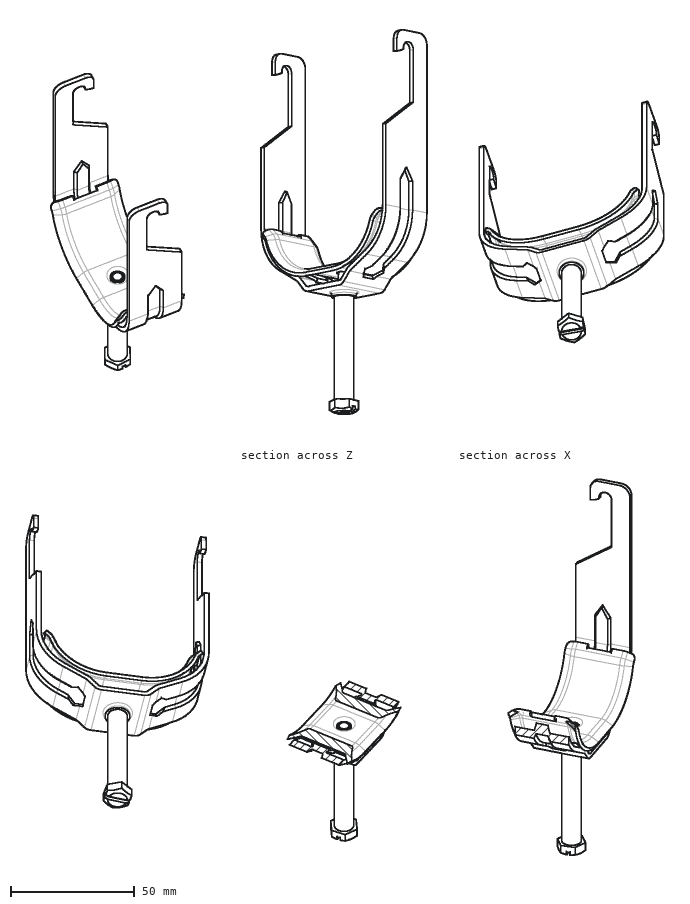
import cadquery as cq
import math

STRAP_THICKNESS = 2.0
STRAP_WIDTH = 23.6
STRAP_SPAN = 70.9
STRAP_TOP_Z = 152.5
BEND_Z = 79.0
SHOULDER_RADIUS = 21.8
SHOULDER_SWEEP = 60.0
KNEE_X = 15.0
KNEE_ANGLE = 48.0
KNEE_INNER_FILLET = 3.0
FLOOR_Z = 49.5
FLOOR_BEND_RADIUS = 1.5
COLLAR_DIAMETER = 10.0
COLLAR_HEIGHT = 2.0
COLLAR_FILLET = 0.9

HALF_WIDTH = STRAP_WIDTH / 2
HOOK_OUTER_Y = 5.5
HOOK_CORNER_RADIUS = 3.8
BACK_CORNER_RADIUS = 4.5
HOOK_TIP_Z = 143.4
HOOK_TIP_INNER_Z = 144.5
HOOK_TIP_BULGE = 0.3
HOOK_SLOT_RADIUS = 2.7
HOOK_SLOT_Y = -1.0
HOOK_SLOT_Z = 145.2
SHANK_BOTTOM_Z = 123.4
SHOULDER_STEP_Z = 112.4

RIB_HEIGHT = 1.2
RIB_BASE_HALF = 3.5
RIB_CREST_HALF = 2.6
RIB_TAPER_Z = 90.7
RIB_BASE_TIP_Z = 96.0
RIB_CREST_TIP_Z = 95.5
RIB_FLARE_HALF = 5.3
RIB_FLARE_END_HALF = 2.9
RIB_FLARE_LENGTH = 6.4
RIB_FLARE_WIDEST = 2.6
RIB_FLARE_OVERRUN = 1.5

TRAY_THICKNESS = 1.5
TRAY_WIDTH = 30.0
TRAY_FLOOR_Z = 59.0
TRAY_FLAT_HALF = 7.5
TRAY_RADIUS = 20.3
TRAY_SWEEP = 74.0
LIP_BEND_RADIUS = 6.1
LIP_ANGLE = 45.0
LIP_LENGTH = 3.0
LIP_CORNER_RADIUS = 2.3
FLANGE_START = 9.9
FLANGE_BEND_RADIUS = 3.7
FLANGE_ANGLE = 30.0
NOTCH_WIDTH = 10.7
NOTCH_X = 29.6
TRAY_HOLE_DIAMETER = 6.0
TRAY_HOLE_ROLL = 1.45

SCREW_DIAMETER = 8.0
SCREW_SHOULDER_Z = 52.9
TIP_BASE_DIAMETER = 6.7
NECK_DIAMETER = 4.5
NECK_Z = 54.3
NECK_TOP_Z = 58.0
NECK_TOP_DIAMETER = 4.0
HEAD_HEIGHT = 4.5
HEAD_CORNER_DIAMETER = 11.9
HEAD_BOTTOM_DIAMETER = 8.0
HEAD_CHAMFER_HEIGHT = 1.15
HEAD_TURN = 6.0
SLOT_WIDTH = 1.5
SLOT_DEPTH = 2.0

LEG_X = -STRAP_SPAN / 2
SHOULDER_X = LEG_X + SHOULDER_RADIUS


def cos(degrees):
    return math.cos(math.radians(degrees))


def sin(degrees):
    return math.sin(math.radians(degrees))


def mirrored_pair(left):
    """A left-hand shape together with its mirror image about the YZ plane."""
    return left.union(left.mirror("YZ"))



def shoulder_point(angle, inset):
    """Point of the left shoulder arc, inset from the strap's outer face."""
    radius = SHOULDER_RADIUS - inset
    return (SHOULDER_X - radius * cos(angle), BEND_Z - radius * sin(angle))


def bend_corner(corner, slope_before, slope_after, inset):
    """Corner between two downward-sloping lines after both move inward by inset."""
    nx = sin(slope_before) + sin(slope_after)
    nz = cos(slope_before) + cos(slope_after)
    reach = inset / (1 + cos(slope_after - slope_before))
    return (corner[0] + reach * nx, corner[1] + reach * nz)


RAMP_ANGLE = 90.0 - SHOULDER_SWEEP
RAMP_TOP = shoulder_point(SHOULDER_SWEEP, 0)
KNEE = (-KNEE_X, RAMP_TOP[1] - (-KNEE_X - RAMP_TOP[0]) * math.tan(math.radians(RAMP_ANGLE)))
FLOOR_CORNER = (-KNEE_X + (KNEE[1] - FLOOR_Z) / math.tan(math.radians(KNEE_ANGLE)), FLOOR_Z)
RAMP_LENGTH = math.dist(RAMP_TOP, KNEE)


def strap_sheet():
    """The bent strip at full width, before its legs are trimmed to shape."""
    t = STRAP_THICKNESS
    inner_knee = bend_corner(KNEE, RAMP_ANGLE, KNEE_ANGLE, t)
    inner_corner = bend_corner(FLOOR_CORNER, KNEE_ANGLE, 0, t)
    left = (
        cq.Workplane("XZ")
        .moveTo(LEG_X, STRAP_TOP_Z)
        .lineTo(LEG_X, BEND_Z)
        .threePointArc(shoulder_point(SHOULDER_SWEEP / 2, 0), RAMP_TOP)
        .lineTo(*KNEE)
        .lineTo(*FLOOR_CORNER)
        .lineTo(0, FLOOR_Z)
        .lineTo(0, FLOOR_Z + t)
        .lineTo(*inner_corner)
        .lineTo(*inner_knee)
        .lineTo(*shoulder_point(SHOULDER_SWEEP, t))
        .threePointArc(shoulder_point(SHOULDER_SWEEP / 2, t), shoulder_point(0, t))
        .lineTo(LEG_X + t, STRAP_TOP_Z)
        .close()
        .extrude(HALF_WIDTH, both=True)
    )
    fillets = (
        (FLOOR_CORNER, FLOOR_BEND_RADIUS + t),
        (inner_corner, FLOOR_BEND_RADIUS),
        (inner_knee, KNEE_INNER_FILLET),
    )
    for (x, z), radius in fillets:
        left = left.edges(cq.selectors.NearestToPointSelector((x, 0, z))).fillet(radius)
    return mirrored_pair(left)


def leg_outline():
    """Side outline of the hooked legs, as a prism along X."""
    slot_left = HOOK_SLOT_Y + HOOK_SLOT_RADIUS
    slot_right = HOOK_SLOT_Y - HOOK_SLOT_RADIUS
    tip_middle_z = (HOOK_TIP_Z + HOOK_TIP_INNER_Z) / 2 - HOOK_TIP_BULGE
    tip_middle = ((HOOK_OUTER_Y + slot_left) / 2, tip_middle_z)
    return (
        cq.Workplane("YZ")
        .moveTo(-HALF_WIDTH, 0)
        .lineTo(-HALF_WIDTH, STRAP_TOP_Z - BACK_CORNER_RADIUS)
        .radiusArc((-HALF_WIDTH + BACK_CORNER_RADIUS, STRAP_TOP_Z), BACK_CORNER_RADIUS)
        .lineTo(HOOK_OUTER_Y - HOOK_CORNER_RADIUS, STRAP_TOP_Z)
        .radiusArc((HOOK_OUTER_Y, STRAP_TOP_Z - HOOK_CORNER_RADIUS), HOOK_CORNER_RADIUS)
        .lineTo(HOOK_OUTER_Y, HOOK_TIP_Z)
        .threePointArc(tip_middle, (slot_left, HOOK_TIP_INNER_Z))
        .lineTo(slot_left, HOOK_SLOT_Z)
        .threePointArc((HOOK_SLOT_Y, HOOK_SLOT_Z + HOOK_SLOT_RADIUS), (slot_right, HOOK_SLOT_Z))
        .lineTo(slot_right, SHANK_BOTTOM_Z)
        .lineTo(HALF_WIDTH, SHOULDER_STEP_Z)
        .lineTo(HALF_WIDTH, 0)
        .close()
        .extrude(STRAP_SPAN, both=True)
    )


def rib_outline(workplane, half_width, tip_z):
    """Pointed outline of the straight part of a rib."""
    return workplane.polyline([
        (-half_width, BEND_Z),
        (half_width, BEND_Z),
        (half_width, RIB_TAPER_Z),
        (0, tip_z),
        (-half_width, RIB_TAPER_Z),
    ]).close()


def rib_section(inset):
    """Trapezoid section of the left rib in the bend plane."""
    x = LEG_X + inset
    return cq.Workplane("XY", origin=(0, 0, BEND_Z)).polyline([
        (x, -RIB_BASE_HALF),
        (x, RIB_BASE_HALF),
        (x + RIB_HEIGHT, RIB_CREST_HALF),
        (x + RIB_HEIGHT, -RIB_CREST_HALF),
    ]).close()


def left_rib_flare(inset):
    """Widened foot of the left rib, reaching both ways from the ramp so that it opens past the knee."""
    plane = cq.Plane(
        origin=(KNEE[0] + inset * sin(RAMP_ANGLE), 0, KNEE[1] + inset * cos(RAMP_ANGLE)),
        xDir=(-cos(RAMP_ANGLE), 0, sin(RAMP_ANGLE)),
        normal=(sin(RAMP_ANGLE), 0, cos(RAMP_ANGLE)),
    )
    return cq.Workplane(plane).polyline([
        (-RIB_FLARE_OVERRUN, -RIB_FLARE_END_HALF),
        (RIB_FLARE_WIDEST, -RIB_FLARE_HALF),
        (RIB_FLARE_LENGTH, -RIB_CREST_HALF),
        (RIB_FLARE_LENGTH, RIB_CREST_HALF),
        (RIB_FLARE_WIDEST, RIB_FLARE_HALF),
        (-RIB_FLARE_OVERRUN, RIB_FLARE_END_HALF),
    ]).close().extrude(RIB_HEIGHT, both=True)


def left_rib(inset):
    """Rib standing inward from the strap face at this inset: leg, shoulder, ramp and flared foot."""
    base = rib_outline(cq.Workplane("YZ", origin=(LEG_X + inset, 0, 0)), RIB_BASE_HALF, RIB_BASE_TIP_Z)
    crest = base.workplane(offset=RIB_HEIGHT)
    leg_part = rib_outline(crest, RIB_CREST_HALF, RIB_CREST_TIP_Z).loft(ruled=True)
    axis_start = (SHOULDER_X, 0, 0)
    axis_end = (SHOULDER_X, -1, 0)
    shoulder_part = rib_section(inset).revolve(SHOULDER_SWEEP, axis_start, axis_end)
    ramp_part = (
        rib_section(inset)
        .extrude(-RAMP_LENGTH)
        .rotate((SHOULDER_X, 0, BEND_Z), (SHOULDER_X, -1, BEND_Z), SHOULDER_SWEEP)
    )
    return leg_part.union(shoulder_part).union(ramp_part).union(left_rib_flare(inset))


def make_strap():
    strap = strap_sheet().intersect(leg_outline())
    strap = strap.union(mirrored_pair(left_rib(STRAP_THICKNESS)))
    strap = strap.cut(mirrored_pair(left_rib(0)))
    collar = (
        cq.Workplane("XY", origin=(0, 0, FLOOR_Z))
        .circle(COLLAR_DIAMETER / 2)
        .extrude(-COLLAR_HEIGHT)
    )
    root = cq.selectors.BoxSelector(
        (-COLLAR_DIAMETER, -COLLAR_DIAMETER, FLOOR_Z - COLLAR_FILLET),
        (COLLAR_DIAMETER, COLLAR_DIAMETER, FLOOR_Z + COLLAR_FILLET),
    )
    strap = strap.union(collar).edges("%CIRCLE").edges(root).fillet(COLLAR_FILLET)
    bore = (
        cq.Workplane("XY", origin=(0, 0, FLOOR_Z - COLLAR_HEIGHT))
        .circle(SCREW_DIAMETER / 2)
        .extrude(COLLAR_HEIGHT + STRAP_THICKNESS)
    )
    return strap.cut(bore)



def tray_path():
    """Run of the tray's upper face along its middle, from the left lip to the right lip."""
    arc_center_z = TRAY_FLOOR_Z + TRAY_RADIUS

    def saddle_point(angle):
        return (TRAY_FLAT_HALF + TRAY_RADIUS * sin(angle), arc_center_z - TRAY_RADIUS * cos(angle))

    saddle_end = saddle_point(TRAY_SWEEP)
    lip_center = (
        saddle_end[0] + LIP_BEND_RADIUS * sin(TRAY_SWEEP),
        saddle_end[1] - LIP_BEND_RADIUS * cos(TRAY_SWEEP),
    )

    def lip_bend_point(angle):
        return (lip_center[0] - LIP_BEND_RADIUS * sin(angle), lip_center[1] + LIP_BEND_RADIUS * cos(angle))

    def left(point):
        return (-point[0], point[1])

    lip_start = lip_bend_point(LIP_ANGLE)
    lip_end = (lip_start[0] + LIP_LENGTH * cos(LIP_ANGLE), lip_start[1] + LIP_LENGTH * sin(LIP_ANGLE))
    lip_middle = lip_bend_point((TRAY_SWEEP + LIP_ANGLE) / 2)
    saddle_middle = saddle_point(TRAY_SWEEP / 2)
    path = (
        cq.Workplane("XZ")
        .moveTo(*left(lip_end))
        .lineTo(*left(lip_start))
        .threePointArc(left(lip_middle), left(saddle_end))
        .threePointArc(left(saddle_middle), (-TRAY_FLAT_HALF, TRAY_FLOOR_Z))
        .lineTo(TRAY_FLAT_HALF, TRAY_FLOOR_Z)
        .threePointArc(saddle_middle, saddle_end)
        .threePointArc(lip_middle, lip_start)
        .lineTo(*lip_end)
    )
    return path, lip_end


def tray_section(plane):
    """Sheet section across the tray: level in the middle, sloping down at both sides."""
    t = TRAY_THICKNESS

    def bend_point(angle, depth):
        radius = FLANGE_BEND_RADIUS - depth
        return (FLANGE_START + radius * sin(angle), radius * cos(angle) - FLANGE_BEND_RADIUS)

    bend_end = bend_point(FLANGE_ANGLE, 0)
    drop = (TRAY_WIDTH / 2 - bend_end[0]) * math.tan(math.radians(FLANGE_ANGLE))
    edge_top = (TRAY_WIDTH / 2, bend_end[1] - drop)
    edge_bottom = (edge_top[0] - t * sin(FLANGE_ANGLE), edge_top[1] - t * cos(FLANGE_ANGLE))

    def left(point):
        return (-point[0], point[1])

    top_mid = bend_point(FLANGE_ANGLE / 2, 0)
    bottom_mid = bend_point(FLANGE_ANGLE / 2, t)
    bottom_end = bend_point(FLANGE_ANGLE, t)
    return (
        cq.Workplane(plane)
        .moveTo(-FLANGE_START, 0)
        .lineTo(FLANGE_START, 0)
        .threePointArc(top_mid, bend_end)
        .lineTo(*edge_top)
        .lineTo(*edge_bottom)
        .lineTo(*bottom_end)
        .threePointArc(bottom_mid, (FLANGE_START, -t))
        .lineTo(-FLANGE_START, -t)
        .threePointArc(left(bottom_mid), left(bottom_end))
        .lineTo(*left(edge_bottom))
        .lineTo(*left(edge_top))
        .lineTo(*left(bend_end))
        .threePointArc(left(top_mid), (-FLANGE_START, 0))
        .close()
    )


def round_lip_corners(tray):
    """Round the four outer corners where the lips meet the side flanges."""
    for x in (-STRAP_SPAN, STRAP_SPAN):
        for y in (-STRAP_SPAN, STRAP_SPAN):
            corner = cq.selectors.NearestToPointSelector((x, y, TRAY_FLOOR_Z))
            tray = tray.edges(corner).fillet(LIP_CORNER_RADIUS)
    return tray


def make_tray():
    path, lip_end = tray_path()
    lip_plane = cq.Plane(
        origin=(-lip_end[0], 0, lip_end[1]),
        xDir=(0, 1, 0),
        normal=(cos(LIP_ANGLE), 0, -sin(LIP_ANGLE)),
    )
    tray = tray_section(lip_plane).sweep(path)

    notch = (
        cq.Workplane("XY", origin=((LEG_X - NOTCH_X) / 2, 0, TRAY_FLOOR_Z))
        .rect(-LEG_X - NOTCH_X, NOTCH_WIDTH)
        .extrude(STRAP_SPAN)
    )
    tray = tray.cut(mirrored_pair(notch))

    hole = (
        cq.Workplane("XY", origin=(0, 0, TRAY_FLOOR_Z))
        .circle(TRAY_HOLE_DIAMETER / 2)
        .extrude(-TRAY_THICKNESS)
    )
    rim = cq.selectors.NearestToPointSelector((0, 0, TRAY_FLOOR_Z + TRAY_HOLE_ROLL))
    return round_lip_corners(tray.cut(hole).edges("%CIRCLE").edges(rim).fillet(TRAY_HOLE_ROLL))



def make_screw():
    radius = SCREW_DIAMETER / 2
    shank = (
        cq.Workplane("XZ")
        .polyline([
            (0, HEAD_HEIGHT),
            (radius, HEAD_HEIGHT),
            (radius, SCREW_SHOULDER_Z),
            (TIP_BASE_DIAMETER / 2, SCREW_SHOULDER_Z),
            (NECK_DIAMETER / 2, NECK_Z),
            (NECK_DIAMETER / 2, NECK_TOP_Z - (NECK_DIAMETER - NECK_TOP_DIAMETER) / 2),
            (NECK_TOP_DIAMETER / 2, NECK_TOP_Z),
            (0, NECK_TOP_Z),
        ])
        .close()
        .revolve(360, (0, 0), (0, 1))
    )
    head_envelope = (
        cq.Workplane("XZ")
        .polyline([
            (0, 0),
            (HEAD_BOTTOM_DIAMETER / 2, 0),
            (HEAD_CORNER_DIAMETER / 2, HEAD_CHAMFER_HEIGHT),
            (HEAD_CORNER_DIAMETER / 2, HEAD_HEIGHT),
            (0, HEAD_HEIGHT),
        ])
        .close()
        .revolve(360, (0, 0), (0, 1))
    )
    hexagon = (
        cq.Workplane("XY")
        .transformed(rotate=(0, 0, 90))
        .polygon(6, HEAD_CORNER_DIAMETER)
        .extrude(HEAD_HEIGHT)
    )
    slot = cq.Workplane("XY").rect(2 * HEAD_CORNER_DIAMETER, SLOT_WIDTH).extrude(SLOT_DEPTH)
    head = hexagon.intersect(head_envelope).cut(slot)
    return shank.union(head.rotate((0, 0, 0), (0, 0, 1), HEAD_TURN))


strap = make_strap()
tray = make_tray()
screw = make_screw()

result = cq.Compound.makeCompound([strap.solids().val(), tray.solids().val(), screw.solids().val()])